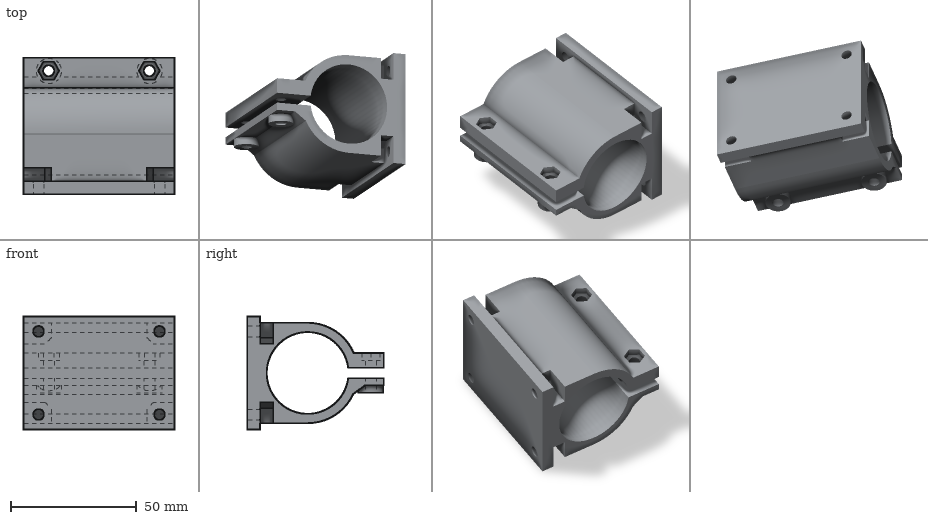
import cadquery as cq
import math

length = 60.0
plate_height = 45.0
plate_thickness = 5.1
screw_diameter = 4.3
plate_hole_inset = 6.0

axis_y = 24.0
bore_radius = 16.2
ring_radius = 20.0

ear_end_y = 54.25
gap = 4.0
upper_ear_top = 8.0
lower_ear_bottom = -5.0
gusset_start_y = 46.7
gusset_end_z = -8.4
ear_hole_y = 49.0
ear_hole_inset = 10.0
boss_diameter = 10.0
boss_height = 2.95
nut_across_corners = 8.35
nut_depth = 3.0

pocket_width = 5.35
pocket_length = 11.0
pocket_floor_z = 11.6
pocket_chamfer = 2.45

ear_hole_points = [(side * (length / 2 - ear_hole_inset), ear_hole_y) for side in (-1, 1)]


def ring_y(z):
    """Y of the ear side of the ring's outer surface at height z."""
    return axis_y + math.sqrt(ring_radius**2 - z**2)


def box(x_size, y_start, y_end, z_start, z_end):
    """Block centred on X between the given Y and Z limits."""
    block = cq.Workplane("XY").box(x_size, y_end - y_start, z_end - z_start, centered=(True, False, False))
    return block.translate((0, y_start, z_start))


def clamp_body():
    """Plate, rounded clamp and ears, bored and split along X."""
    plate = box(length, 0, plate_thickness, -plate_height / 2, plate_height / 2)
    base = box(length, plate_thickness, axis_y, -ring_radius, ring_radius)
    profile_plane = cq.Workplane("YZ", origin=(-length / 2, 0, 0))
    ring = profile_plane.center(axis_y, 0).circle(ring_radius).extrude(length)
    upper_ear = box(length, axis_y, ear_end_y, 0, upper_ear_top)
    lower_ear = (
        profile_plane.moveTo(axis_y, 0)
        .lineTo(ear_end_y, 0)
        .lineTo(ear_end_y, lower_ear_bottom)
        .lineTo(gusset_start_y, lower_ear_bottom)
        .lineTo(ring_y(gusset_end_z), gusset_end_z)
        .lineTo(axis_y, gusset_end_z)
        .close()
        .extrude(length)
    )
    bore = profile_plane.center(axis_y, 0).circle(bore_radius).extrude(length)
    split = box(length, axis_y, ear_end_y, -gap / 2, gap / 2)
    bosses = (
        cq.Workplane("XY", origin=(0, 0, lower_ear_bottom))
        .pushPoints(ear_hole_points)
        .circle(boss_diameter / 2)
        .extrude(-boss_height)
    )
    solid = plate.union(base).union(ring).union(upper_ear).union(lower_ear).union(bosses)
    return solid.cut(bore).cut(split)


def ear_fasteners():
    """Screw holes through both ears and hexagonal nut recesses in the upper one."""
    holes = (
        cq.Workplane("XY")
        .pushPoints(ear_hole_points)
        .circle(screw_diameter / 2)
        .extrude(plate_height, both=True)
    )
    nuts = (
        cq.Workplane("XY", origin=(0, 0, upper_ear_top))
        .pushPoints(ear_hole_points)
        .polygon(6, nut_across_corners)
        .extrude(-nut_depth)
    )
    return holes.union(nuts)


def plate_holes():
    """Four screw holes through the plate into the corner pockets."""
    return (
        cq.Workplane("XZ")
        .rect(length - 2 * plate_hole_inset, plate_height - 2 * plate_hole_inset, forConstruction=True)
        .vertices()
        .circle(screw_diameter / 2)
        .extrude(-plate_thickness)
    )


def corner_pocket(side, level):
    """Pocket behind one plate corner, with a sloped inner corner; side and level are -1 or 1."""
    inner_x = length / 2 - pocket_length
    outline = [
        (length / 2, pocket_floor_z),
        (inner_x + pocket_chamfer, pocket_floor_z),
        (inner_x, pocket_floor_z + pocket_chamfer),
        (inner_x, ring_radius),
        (length / 2, ring_radius),
    ]
    return (
        cq.Workplane("XZ", origin=(0, plate_thickness, 0))
        .polyline([(side * x, level * z) for x, z in outline])
        .close()
        .extrude(-pocket_width)
    )


result = clamp_body().cut(ear_fasteners()).cut(plate_holes())
for side in (-1, 1):
    for level in (-1, 1):
        result = result.cut(corner_pocket(side, level))